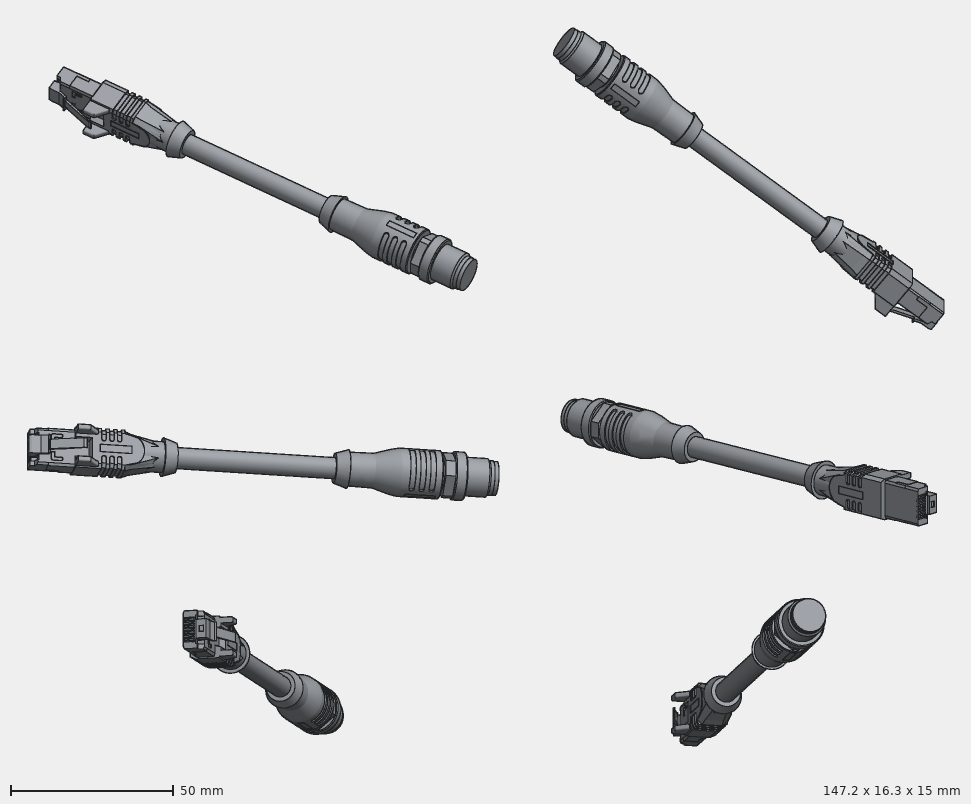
import cadquery as cq


TOTAL_LENGTH = 147.2
OVERCUT = 1.0

BODY_START = 0.9
BODY_TOP_Y = 3.15
BODY_BOTTOM_Y = -3.1
BODY_HALF_Z = 6.1
BODY_BEVEL_Y = 0.4
BODY_BEVEL_Z = 0.9
SHIELD_START = 6.3
SHIELD_STEP = 0.15
SHIELD_NOTCH_END = 10.5
SHIELD_NOTCH_Y = 1.6
TIP_CUT_END_X = 3.0
TIP_NOTCH = (1.1, 3.3)
TIP_NOTCH_Z = (3.1, 4.4)
TIP_NOTCH_TOP_Y = -0.8
CONTACT_COUNT = 8
CONTACT_PITCH = 1.02
CONTACT_WIDTH = 0.55
CONTACT_DEPTH = 1.0
CONTACT_BOTTOM_Y = -0.4

NOSE_HALF_Z = 2.95
NOSE_TOP_Y = -1.3
NOSE_BOTTOM_Y = -4.7
NOSE_BEVEL = 0.25
NOSE_POCKET_Y = (-3.6, -2.2)
NOSE_POCKET_HALF_Z = 0.9
NOSE_POCKET_DEPTH = 0.5
NOSE_TOP_LENGTH = 2.2
NOSE_BOTTOM_LENGTH = 3.8
SHOULDER_START = 2.5
SHOULDER_END = 6.3
SHOULDER_LIP_LENGTH = 0.4
SHOULDER_LIP_DEPTH = 0.5
ARM_HALF_Z = 1.55
ARM_BEND_X = 12.1
ARM_TIP_X = 17.4
ARM_THICKNESS = 0.8
ARM_ROOT_Y = -3.5
ARM_SLOPE = -0.33
ARM_TIP_SLOPE = -0.42
ARM_TIP_LAND = 1.0
HOOK_START = 7.25
HOOK_END = 10.85
HOOK_OUTER_Z = 4.3
HOOK_WIDTH = 1.1
HOOK_DEPTH = 0.4

BOOT_START = 14.6
BOOT_BEND_X = 30.0
BOOT_HALF_Y = 4.95
BOOT_HALF_Z = 6.55
BOOT_TOP_EDGE = (3.2, 5.8)
BOOT_BOTTOM_EDGE = (-4.3, 5.15)
TAPER_MIDDLE_X = 32.2
TAPER_MIDDLE = ((4.75, 4.8), (2.9, 5.7))
TAPER_END_X = 40.8
TAPER_END = ((4.4, 1.8), (2.2, 4.0))
FACE_SHOULDER = (34.2, 4.0)
FACE_TIP_X = 36.1
LATCH_SLOT_END = 19.0
LATCH_SLOT_HALF_Z = 2.5
LATCH_SLOT_FLOOR_Y = -3.1
LATCH_SLOT_BEVEL = 0.7
WING_INNER_Z = 4.3
WING_OUTER_Z = 6.1
WING_BOTTOM_Y = -8.84
WING_FLAT_END = 18.5
WING_END = 21.6
WING_ROUND = 0.5
BOOT_GRIP_CENTRES = (23.4, 25.9, 28.3)
BOOT_GRIP_WIDTH = 1.4
BOOT_GRIP_INNER = 2.4
GRIP_DEPTH = 0.5
BOOT_LABEL = (22.2, 32.2, 2.4)
LABEL_DEPTH = 0.2

NECK_START = 34.0
CABLE_DIAMETER = 6.6
COLLAR_DIAMETER = 12.0
COLLAR_END_DIAMETER = 9.3
BOOT_NECK_DIAMETER = 9.6
COLLAR_LENGTH = 4.1
BOOT_COLLAR_X = 42.6
M12_COLLAR_X = 100.6

GRIP_DIAMETER = 15.0
M12_NECK_START_DIAMETER = 10.5
M12_NECK_END_DIAMETER = 10.8
FLARE_START = 108.6
FLARE_END = 116.5
FLARE_BULGE = 0.2
GRIP_END = 129.4
GRIP_EDGE = 0.3
NUT_START = 130.3
NUT_GAP_DIAMETER = 9.3
NUT_CORNERS = ((6.7, 2.45), (0.93, 7.05))
RING_START = 133.4
RING_END = 137.1
RING_CHAMFER = 0.35
THREAD_DIAMETER = 12.0
THREAD_END = 144.1
THREAD_CHAMFER = 0.6
NOSE_STEP_X = 145.9
M12_NOSE_DIAMETER = 10.8
M12_TIP_DIAMETER = 10.5
M12_GRIP_FIRST = 120.0
M12_GRIP_PITCH = 3.15
M12_GRIP_COUNT = 3
M12_GRIP_WIDTH = 1.7
M12_GRIP_INNER = 3.0
M12_LABEL = (118.4, 128.1, 2.0)


def box(x_range, y_range, z_range):
    """Axis-aligned box from its limits."""
    size = [limits[1] - limits[0] for limits in (x_range, y_range, z_range)]
    corner = (x_range[0], y_range[0], z_range[0])
    return cq.Workplane("XY").box(*size, centered=False).translate(corner)


def section_prism(points, start, end):
    """Extrude a (Y, Z) outline along X."""
    return cq.Workplane("YZ", origin=(start, 0, 0)).polyline(points).close().extrude(end - start)


def side_prism(points, half_z):
    """Extrude an (X, Y) outline symmetrically about Z = 0."""
    return cq.Workplane("XY").polyline(points).close().extrude(half_z, both=True)


def mirrored_in_z(points):
    """Complete a (Y, Z) half outline with its mirror image across Z = 0."""
    return points + [(y, -z) for y, z in reversed(points)]


def octagon(quarter):
    """Complete a (Y, Z) outline from its two corners in the +Y, +Z quarter."""
    opposite = [(-y, z) for y, z in reversed(quarter)]
    return mirrored_in_z(list(quarter) + opposite)


def grip_slot(plane, centre, width, inner, reach):
    """Pair of round-ended slots on both sides of the X axis, starting at distance inner."""
    radius = width / 2
    slots = cq.Workplane("XY")
    for side in (1, -1):
        start = side * (inner + radius)
        slots = slots.add(
            cq.Workplane(plane)
            .moveTo(centre - radius, side * reach)
            .lineTo(centre - radius, start)
            .threePointArc((centre, side * inner), (centre + radius, start))
            .lineTo(centre + radius, side * reach)
            .close()
            .extrude(reach, both=True)
        )
    return slots.combine()


def body_outline(inset):
    """Bevelled plug section with the side faces drawn in by inset."""
    half = BODY_HALF_Z - inset
    face = BODY_HALF_Z - BODY_BEVEL_Z
    return mirrored_in_z([
        (BODY_TOP_Y, face),
        (BODY_TOP_Y - BODY_BEVEL_Y, half),
        (BODY_BOTTOM_Y + BODY_BEVEL_Y, half),
        (BODY_BOTTOM_Y, face),
    ])


def make_body():
    tip = section_prism(body_outline(SHIELD_STEP), BODY_START, SHIELD_START)
    shield = section_prism(body_outline(0), SHIELD_START, BOOT_START + OVERCUT)
    for side in (1, -1):
        z_limits = sorted((side * (BODY_HALF_Z - SHIELD_STEP), side * (BODY_HALF_Z + OVERCUT)))
        notch = box(
            (SHIELD_START, SHIELD_NOTCH_END),
            (SHIELD_NOTCH_Y, BODY_TOP_Y + OVERCUT),
            z_limits,
        )
        shield = shield.cut(notch)
    body = tip.union(shield)
    for index in range(CONTACT_COUNT):
        z = (index - (CONTACT_COUNT - 1) / 2) * CONTACT_PITCH
        slot = box(
            (BODY_START - OVERCUT, BODY_START + CONTACT_DEPTH),
            (CONTACT_BOTTOM_Y, BODY_TOP_Y - BODY_BEVEL_Y),
            (z - CONTACT_WIDTH / 2, z + CONTACT_WIDTH / 2),
        )
        body = body.cut(slot)
    return cut_hooks(cut_tip(body))


def cut_tip(body):
    """Cut back the lower front corner and notch it beside the latch nose."""
    low_y = BODY_BOTTOM_Y - OVERCUT
    corner = side_prism(
        [
            (0, NOSE_TOP_Y),
            (NOSE_TOP_LENGTH, NOSE_TOP_Y),
            (TIP_CUT_END_X, BODY_BOTTOM_Y),
            (TIP_CUT_END_X, low_y),
            (0, low_y),
        ],
        BODY_HALF_Z + OVERCUT,
    )
    body = body.cut(corner)
    for side in (1, -1):
        z_limits = sorted(side * z for z in TIP_NOTCH_Z)
        body = body.cut(box(TIP_NOTCH, (low_y, TIP_NOTCH_TOP_Y), z_limits))
    return body


def cut_hooks(body):
    """L-shaped recesses beside the latch arm."""
    y_limits = (BODY_BOTTOM_Y - OVERCUT, BODY_BOTTOM_Y + HOOK_DEPTH)
    radius = HOOK_WIDTH / 2
    for side in (1, -1):
        stem_z = sorted((side * ARM_HALF_Z, side * (HOOK_OUTER_Z - radius)))
        stem = box((HOOK_START, HOOK_START + HOOK_WIDTH), y_limits, stem_z)
        foot = (
            cq.Workplane("XZ", origin=(0, y_limits[1], 0))
            .center((HOOK_START + HOOK_END) / 2, side * (HOOK_OUTER_Z - radius))
            .slot2D(HOOK_END - HOOK_START, HOOK_WIDTH)
            .extrude(y_limits[1] - y_limits[0])
        )
        body = body.cut(stem).cut(foot)
    return body


def arm_top_y(x):
    """Height of the upper surface of the latch arm before its bend."""
    return ARM_ROOT_Y + ARM_SLOPE * (x - SHOULDER_START)


def sloping_strip(start, end, half_z):
    """Straight piece of the latch arm."""
    top = [(start, arm_top_y(start)), (end, arm_top_y(end))]
    bottom = [(x, y - ARM_THICKNESS) for x, y in reversed(top)]
    return side_prism(top + bottom, half_z)


def make_latch():
    nose = side_prism(
        [
            (0, NOSE_TOP_Y),
            (NOSE_TOP_LENGTH, NOSE_TOP_Y),
            (NOSE_BOTTOM_LENGTH, NOSE_BOTTOM_Y),
            (BODY_START, NOSE_BOTTOM_Y),
            (0, NOSE_BOTTOM_Y + NOSE_BEVEL),
        ],
        NOSE_HALF_Z,
    )
    pocket = box(
        (-OVERCUT, NOSE_POCKET_DEPTH),
        NOSE_POCKET_Y,
        (-NOSE_POCKET_HALF_Z, NOSE_POCKET_HALF_Z),
    )
    nose = nose.cut(pocket)
    shoulder = sloping_strip(SHOULDER_START, SHOULDER_END, NOSE_HALF_Z)
    lip_start = SHOULDER_END - SHOULDER_LIP_LENGTH
    lip_top = arm_top_y(SHOULDER_END)
    lip = box(
        (lip_start, SHOULDER_END),
        (lip_top - ARM_THICKNESS - SHOULDER_LIP_DEPTH, lip_top),
        (-NOSE_HALF_Z, NOSE_HALF_Z),
    )
    arm = sloping_strip(SHOULDER_START, ARM_BEND_X, ARM_HALF_Z)
    bend_y = arm_top_y(ARM_BEND_X)
    land_x = ARM_TIP_X - ARM_TIP_LAND
    land_y = bend_y + ARM_TIP_SLOPE * (land_x - ARM_BEND_X)
    lever = side_prism(
        [
            (ARM_BEND_X, bend_y),
            (land_x, land_y),
            (ARM_TIP_X, land_y),
            (ARM_TIP_X, WING_BOTTOM_Y),
            (land_x, WING_BOTTOM_Y),
            (ARM_BEND_X, bend_y - ARM_THICKNESS),
        ],
        ARM_HALF_Z,
    )
    return nose.union(shoulder).union(lip).union(arm).union(lever)


def boot_outline(inset):
    """Bevelled boot section, drawn in by inset on every face."""
    top_edge_y, top_edge_z = BOOT_TOP_EDGE
    bottom_edge_y, bottom_edge_z = BOOT_BOTTOM_EDGE
    half_y = BOOT_HALF_Y - inset
    half_z = BOOT_HALF_Z - inset
    return mirrored_in_z([
        (half_y, top_edge_z - inset),
        (top_edge_y, half_z),
        (bottom_edge_y + inset, half_z),
        (-half_y, bottom_edge_z - inset),
    ])


def make_taper():
    """Eight-sided taper in two slopes from the boot section down into the round neck."""
    start = ((BOOT_NECK_DIAMETER / 2, BOOT_BOTTOM_EDGE[1]), (BOOT_TOP_EDGE[0], BOOT_HALF_Z))
    return (
        cq.Workplane("YZ", origin=(BOOT_BEND_X, 0, 0))
        .polyline(octagon(start)).close()
        .workplane(offset=TAPER_MIDDLE_X - BOOT_BEND_X)
        .polyline(octagon(TAPER_MIDDLE)).close()
        .workplane(offset=TAPER_END_X - TAPER_MIDDLE_X)
        .polyline(octagon(TAPER_END)).close()
        .loft(ruled=True, combine=True)
    )


def make_boot_face():
    """Flat +Y and -Y faces carried on over the taper, ending in a round tip."""
    shoulder_x, shoulder_z = FACE_SHOULDER
    return (
        cq.Workplane("XZ")
        .moveTo(BOOT_BEND_X, BOOT_BOTTOM_EDGE[1])
        .lineTo(shoulder_x, shoulder_z)
        .threePointArc((FACE_TIP_X, 0), (shoulder_x, -shoulder_z))
        .lineTo(BOOT_BEND_X, -BOOT_BOTTOM_EDGE[1])
        .close()
        .extrude(BOOT_HALF_Y, both=True)
    )


def make_wings():
    """Two guards beside the latch lever, with rounded lower edges."""
    outline = [
        (BOOT_START, LATCH_SLOT_FLOOR_Y),
        (BOOT_START, WING_BOTTOM_Y),
        (WING_FLAT_END, WING_BOTTOM_Y),
        (WING_END, -BOOT_HALF_Y),
        (WING_END, LATCH_SLOT_FLOOR_Y),
    ]
    slope_x = WING_END - WING_FLAT_END
    slope_y = -BOOT_HALF_Y - WING_BOTTOM_Y
    wing = (
        cq.Workplane("XY", origin=(0, 0, WING_INNER_Z))
        .polyline(outline).close()
        .extrude(WING_OUTER_Z - WING_INNER_Z)
        .edges(f"(<Y and |X) or |({slope_x}, {slope_y}, 0)")
        .fillet(WING_ROUND)
    )
    return wing.union(wing.mirror("XY"))


def make_latch_slot():
    """Bevelled opening in the -Y face for the latch lever."""
    depth = BOOT_HALF_Y + LATCH_SLOT_FLOOR_Y
    mouth_half_z = LATCH_SLOT_HALF_Z + LATCH_SLOT_BEVEL
    length = LATCH_SLOT_END - BOOT_START
    return (
        cq.Workplane("XZ", origin=(BOOT_START, LATCH_SLOT_FLOOR_Y, 0))
        .rect(2 * length, 2 * LATCH_SLOT_HALF_Z)
        .workplane(offset=depth)
        .rect(2 * (length + LATCH_SLOT_BEVEL), 2 * mouth_half_z)
        .loft(combine=True)
    )


def make_boot():
    boot = section_prism(boot_outline(0), BOOT_START, BOOT_BEND_X)
    core = section_prism(boot_outline(GRIP_DEPTH), BOOT_START, BOOT_BEND_X)
    boot = boot.union(make_taper()).union(make_boot_face())
    reach = BOOT_HALF_Z + OVERCUT
    for centre in BOOT_GRIP_CENTRES:
        slot = grip_slot("XZ", centre, BOOT_GRIP_WIDTH, BOOT_GRIP_INNER, reach)
        boot = boot.cut(slot.cut(core))
    boot = boot.cut(make_latch_slot()).union(make_wings())
    start, end, width = BOOT_LABEL
    for y in (BOOT_HALF_Y, -BOOT_HALF_Y):
        label = box((start, end), (y - LABEL_DEPTH, y + LABEL_DEPTH), (-width / 2, width / 2))
        boot = boot.cut(label)
    return boot


def make_turned_parts():
    """Boot neck, cable and M12 plug revolved about the cable axis."""
    grip_radius = GRIP_DIAMETER / 2
    flare_middle = (
        (FLARE_START + FLARE_END) / 2,
        (M12_NECK_END_DIAMETER + GRIP_DIAMETER) / 4 + FLARE_BULGE,
    )
    profile = (
        cq.Workplane("XY")
        .moveTo(NECK_START, 0)
        .lineTo(NECK_START, BOOT_NECK_DIAMETER / 2)
        .lineTo(BOOT_COLLAR_X, BOOT_NECK_DIAMETER / 2)
        .lineTo(BOOT_COLLAR_X, COLLAR_DIAMETER / 2)
        .lineTo(BOOT_COLLAR_X + COLLAR_LENGTH, COLLAR_END_DIAMETER / 2)
        .lineTo(BOOT_COLLAR_X + COLLAR_LENGTH, CABLE_DIAMETER / 2)
        .lineTo(M12_COLLAR_X - COLLAR_LENGTH, CABLE_DIAMETER / 2)
        .lineTo(M12_COLLAR_X - COLLAR_LENGTH, COLLAR_END_DIAMETER / 2)
        .lineTo(M12_COLLAR_X, COLLAR_DIAMETER / 2)
        .lineTo(M12_COLLAR_X, M12_NECK_START_DIAMETER / 2)
        .lineTo(FLARE_START, M12_NECK_END_DIAMETER / 2)
        .threePointArc(flare_middle, (FLARE_END, grip_radius))
        .lineTo(GRIP_END - GRIP_EDGE, grip_radius)
        .lineTo(GRIP_END, grip_radius - GRIP_EDGE)
        .lineTo(GRIP_END, NUT_GAP_DIAMETER / 2)
        .lineTo(RING_START, NUT_GAP_DIAMETER / 2)
        .lineTo(RING_START, grip_radius - RING_CHAMFER)
        .lineTo(RING_START + RING_CHAMFER, grip_radius)
        .lineTo(RING_END - RING_CHAMFER, grip_radius)
        .lineTo(RING_END, grip_radius - RING_CHAMFER)
        .lineTo(RING_END, THREAD_DIAMETER / 2)
        .lineTo(THREAD_END, THREAD_DIAMETER / 2)
        .lineTo(THREAD_END + THREAD_CHAMFER, M12_NOSE_DIAMETER / 2)
        .lineTo(NOSE_STEP_X, M12_NOSE_DIAMETER / 2)
        .lineTo(NOSE_STEP_X, M12_TIP_DIAMETER / 2)
        .lineTo(TOTAL_LENGTH, M12_TIP_DIAMETER / 2)
        .lineTo(TOTAL_LENGTH, 0)
        .close()
    )
    return profile.revolve(360, (0, 0, 0), (1, 0, 0))


def make_nut():
    """Eight-sided drive of the coupling nut."""
    return section_prism(octagon(NUT_CORNERS), NUT_START, RING_START)


def cut_m12_grip(cord):
    """Finger grooves around the +Y and -Y sides and label recesses at +Z and -Z."""
    radius = GRIP_DIAMETER / 2
    core = (
        cq.Workplane("YZ", origin=(FLARE_END, 0, 0))
        .circle(radius - GRIP_DEPTH)
        .extrude(GRIP_END - FLARE_END)
    )
    for index in range(M12_GRIP_COUNT):
        centre = M12_GRIP_FIRST + index * M12_GRIP_PITCH
        slot = grip_slot("XY", centre, M12_GRIP_WIDTH, M12_GRIP_INNER, radius + OVERCUT)
        cord = cord.cut(slot.cut(core))
    start, end, width = M12_LABEL
    for z in (radius, -radius):
        label = box((start, end), (-width / 2, width / 2), (z - LABEL_DEPTH, z + LABEL_DEPTH))
        cord = cord.cut(label)
    return cord


cord = cut_m12_grip(make_turned_parts()).union(make_nut())
result = cord.union(make_boot()).union(make_body()).union(make_latch())